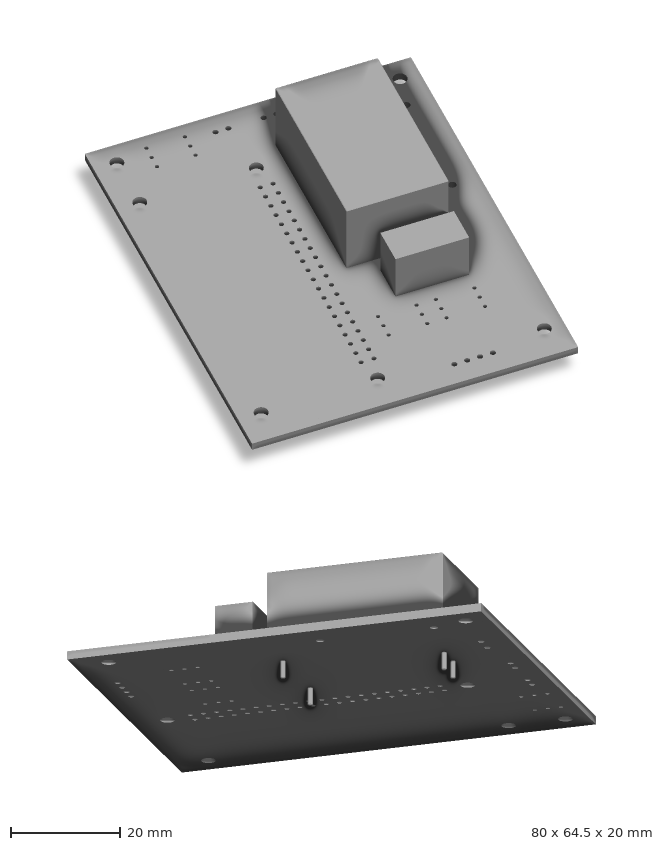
import cadquery as cq

board_length = 80.0
board_width = 64.5
board_thickness = 1.6

converter_length = 34.0
converter_width = 20.2
converter_height = 15.0
converter_x = -11.7
converter_y = 10.9
converter_edge_chamfer = 0.12
pin_diameter = 1.0
pin_tip_chamfer = 0.2
pin_protrusion = 3.4
pin_row_spacing = 29.4
input_pin_spacing = 5.0
output_pin_spacing = 15.4

component_length = 7.3
component_width = 14.6
component_height = 9.8
component_x = 11.7
component_y = 13.6

mounting_hole_diameter = 2.7
mounting_left_x = -24.7
mounting_span_x = 58.0
mounting_bottom_y = -27.7
mounting_span_y = 23.0
corner_left_x = -35.7
corner_top_y = 28.3

locating_hole_diameter = 1.5
locating_left_x = -29.0
locating_spacing = 22.0
locating_y = 26.8

terminal_hole_diameter = 1.2
terminal_x = -34.7
terminal_top_y = 16.9
terminal_spacing = 3.5

header_columns = 20
header_rows = 2
header_length = 48.2
pitch = header_length / (header_columns - 1)

main_header_hole_diameter = 1.0
main_header_left_x = -19.8
main_header_top_y = -3.4

small_header_hole_diameter = 1.1
side_header_x = 35.4
side_header_top_y = 17.3
side_header_count = 4
jumper_x = -36.0
jumper_top_ys = (4.0, -5.5)
jumper_count = 2

resistor_hole_diameter = 0.8
resistor_columns = 3
resistor_rows = 2
resistor_row_pitches = 3
resistor_row_spacing = resistor_row_pitches * pitch
right_resistor_left_x = 18.8
right_resistor_top_ys = (20.5, 9.0)
left_resistor_left_x = -37.0
left_resistor_top_y = -13.7


def grid(left_x, top_y, columns, rows, column_spacing, row_spacing):
    """Points of a rectangular grid, starting at its -X, +Y corner."""
    return [
        (left_x + column * column_spacing, top_y - row * row_spacing)
        for column in range(columns)
        for row in range(rows)
    ]


def converter_pin_points():
    """Two close pins at the left end and two wide pins at the right end."""
    left_x = converter_x - pin_row_spacing / 2
    right_x = converter_x + pin_row_spacing / 2
    return [
        (x, converter_y + side * spacing / 2)
        for x, spacing in ((left_x, input_pin_spacing), (right_x, output_pin_spacing))
        for side in (-1, 1)
    ]


def mounting_points():
    """Inner rectangle of four holes, then the three holes near the board corners."""
    inner_top_y = mounting_bottom_y + mounting_span_y
    right_x = mounting_left_x + mounting_span_x
    inner = grid(mounting_left_x, inner_top_y, 2, 2, mounting_span_x, mounting_span_y)
    corners = [(corner_left_x, corner_top_y), (right_x, corner_top_y), (corner_left_x, mounting_bottom_y)]
    return inner + corners


def small_header_points():
    """Side header column near the +X edge and the two-pin jumpers near the -X edge."""
    points = grid(side_header_x, side_header_top_y, 1, side_header_count, pitch, pitch)
    for top_y in jumper_top_ys:
        points += grid(jumper_x, top_y, 1, jumper_count, pitch, pitch)
    return points


def resistor_points():
    """Two groups at the right of the board and one at the left."""
    groups = [(right_resistor_left_x, top_y) for top_y in right_resistor_top_ys]
    groups.append((left_resistor_left_x, left_resistor_top_y))
    points = []
    for left_x, top_y in groups:
        points += grid(left_x, top_y, resistor_columns, resistor_rows, pitch, resistor_row_spacing)
    return points


def make_board():
    """Flat plate with every group of round through holes."""
    board = cq.Workplane("XY").box(
        board_length, board_width, board_thickness, centered=(True, True, False)
    )
    hole_groups = (
        (mounting_hole_diameter, mounting_points()),
        (locating_hole_diameter, grid(locating_left_x, locating_y, 2, 1, locating_spacing, 0)),
        (terminal_hole_diameter, grid(terminal_x, terminal_top_y, 1, 2, 0, terminal_spacing)),
        (
            main_header_hole_diameter,
            grid(main_header_left_x, main_header_top_y, header_columns, header_rows, pitch, pitch),
        ),
        (small_header_hole_diameter, small_header_points()),
        (resistor_hole_diameter, resistor_points()),
        (pin_diameter, converter_pin_points()),
    )
    for diameter, points in hole_groups:
        board = board.faces(">Z").workplane(origin=(0, 0, 0)).pushPoints(points).hole(diameter)
    return board


def make_converter():
    """Chamfered block on the board, in one piece with its four pins."""
    block = (
        cq.Workplane("XY", origin=(converter_x, converter_y, board_thickness))
        .box(converter_length, converter_width, converter_height, centered=(True, True, False))
        .edges()
        .chamfer(converter_edge_chamfer)
    )
    pins = (
        cq.Workplane("XY", origin=(0, 0, -pin_protrusion))
        .pushPoints(converter_pin_points())
        .circle(pin_diameter / 2)
        .extrude(pin_protrusion + board_thickness)
        .faces("<Z")
        .chamfer(pin_tip_chamfer)
    )
    return block.union(pins)


def make_component():
    """Plain block standing on the board."""
    return cq.Workplane("XY", origin=(component_x, component_y, board_thickness)).box(
        component_length, component_width, component_height, centered=(True, True, False)
    )


board = make_board()
converter = make_converter()
component = make_component()

result = cq.Compound.makeCompound([board.val(), converter.val(), component.val()])